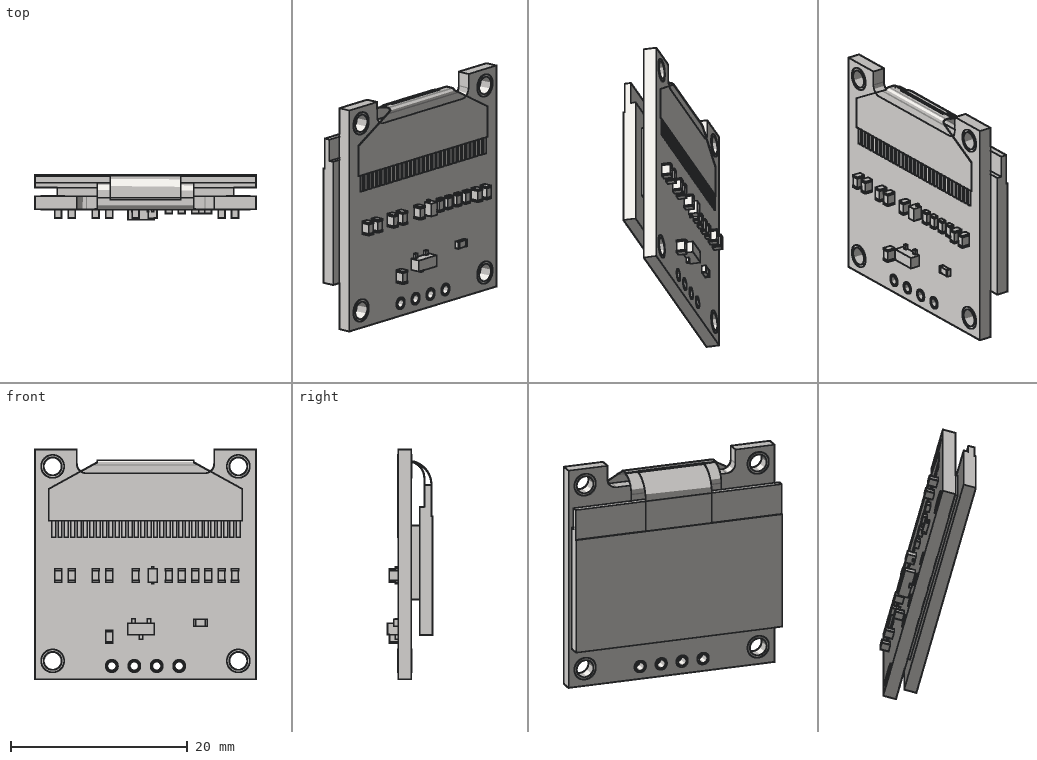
import cadquery as cq
import math


BOARD_WIDTH = 25.0
BOARD_HEIGHT = 26.0
BOARD_THICKNESS = 1.5
BOARD_TOP = BOARD_HEIGHT / 2
NOTCH_HALF_WIDTH = 7.75
NOTCH_FLOOR = 10.3
NOTCH_CORNER_RADIUS = 1.07

PAD_THICKNESS = 0.05
MOUNT_INSET = 2.0
MOUNT_RISE = 0.08
MOUNT_HOLE_DIAMETER = 2.0
MOUNT_PAD_DIAMETER = 2.6
PIN_COUNT = 4
PIN_PITCH = 2.54
PIN_INSET = 1.5
PIN_HOLE_DIAMETER = 1.0
PIN_PAD_DIAMETER = 1.4

ADHESIVE_WIDTH = 20.0
ADHESIVE_THICKNESS = 0.95
ADHESIVE_BOTTOM = -4.0
ADHESIVE_TOP = 4.4
DISPLAY_BOTTOM = -8.0
COVER_THICKNESS = 0.55
COVER_TOP = 6.5
GLASS_THICKNESS = 0.74
GLASS_TOP = 9.0
POLARIZER_THICKNESS = 0.16
POLARIZER_TOP = 5.45
COVER_FRONT = BOARD_THICKNESS + ADHESIVE_THICKNESS
GLASS_FRONT = COVER_FRONT + COVER_THICKNESS
GLASS_BACK = GLASS_FRONT + GLASS_THICKNESS

FLEX_THICKNESS = 0.06
FLEX_CREST = 11.8
FLEX_FOLD_RADIUS = 0.53
FLEX_SPLIT = 1.3
FLEX_HALF_WIDTH = 10.94
FLEX_NECK_HALF_WIDTH = 5.46
FLEX_BOTTOM = 4.95
FLEX_SHOULDER = 8.53
FLEX_NECK_START = 11.55
OUTER_BEND_RADIUS = 2.74
OUTER_STRIP_WIDTH = 8.0
INNER_BEND_RADIUS = 1.9
STRIP_LAP = 0.25

FINGER_COUNT = 30
FINGER_PITCH = 0.72
FINGER_WIDTH = 0.45
FINGER_BOTTOM = 3.05
FINGER_THICKNESS = 0.04
FINGER_ROW_CENTER = 0.05

CHIP_LENGTH = 1.5
CHIP_WIDTH = 0.8
CHIP_TERMINAL = 0.2
CHIP_STEP = 0.02
TALL_CHIP = 1.0
LOW_CHIP = 0.5
CHIP_ROW_Z = -1.25
TALL_CHIP_ROW_X = [-9.88, -8.34, -5.65, -4.1, -1.12, 8.61, 10.12]
LOW_CHIP_ROW_X = [2.65, 4.09, 5.63, 7.09]
SINGLE_CHIP = (-4.1, -8.2)
FLAT_CHIP = (6.22, -6.6)

DIODE_X = 0.82
DIODE_WIDTH = 1.0
DIODE_LENGTH = 1.5
DIODE_HEIGHT = 1.0
DIODE_LEAD_WIDTH = 0.25
DIODE_LEAD_REACH = 0.2

REGULATOR_X = -0.5
REGULATOR_Z = -7.3
REGULATOR_WIDTH = 3.0
REGULATOR_LENGTH = 1.3
REGULATOR_HEIGHT = 1.2
REGULATOR_LEAD_WIDTH = 0.4
REGULATOR_LEAD_REACH = 0.5
REGULATOR_LEAD_OFFSET = 0.87

LEAD_THICKNESS = 0.3


def block(x_range, y_range, z_range):
    """Box between the given limits on each axis."""
    size = [high - low for low, high in (x_range, y_range, z_range)]
    return cq.Workplane("XY").box(*size, centered=False).translate((x_range[0], y_range[0], z_range[0]))


def centered_block(width, y_range, z_range):
    """Box centred on the YZ plane."""
    return block((-width / 2, width / 2), y_range, z_range)


def surface_block(x, z, width, length, height):
    """Box standing on the board's -Y face, centred at (x, z)."""
    return block((x - width / 2, x + width / 2), (-height, 0), (z - length / 2, z + length / 2))


def cylinders_along_y(points, diameter, y_range):
    """Cylinders along Y at the given (x, z) points."""
    low, high = y_range
    return (
        cq.Workplane("XZ", origin=(0, low, 0))
        .pushPoints(points)
        .circle(diameter / 2)
        .extrude(low - high)
    )


def make_board():
    board = centered_block(BOARD_WIDTH, (0, BOARD_THICKNESS), (-BOARD_TOP, BOARD_TOP))
    notch = centered_block(
        2 * NOTCH_HALF_WIDTH, (0, BOARD_THICKNESS), (NOTCH_FLOOR, BOARD_TOP + NOTCH_CORNER_RADIUS)
    )
    notch = notch.faces("<Z").edges("|Y").fillet(NOTCH_CORNER_RADIUS)
    return board.cut(notch)


def plate_holes(board):
    """Add a pad on both board faces at each hole, then drill through."""
    mount_x = BOARD_WIDTH / 2 - MOUNT_INSET
    mount_z = BOARD_TOP - MOUNT_INSET
    mounts = [(x, z) for x in (-mount_x, mount_x) for z in (MOUNT_RISE - mount_z, MOUNT_RISE + mount_z)]
    pins = [((i - (PIN_COUNT - 1) / 2) * PIN_PITCH, PIN_INSET - BOARD_TOP) for i in range(PIN_COUNT)]
    plated_range = (-PAD_THICKNESS, BOARD_THICKNESS + PAD_THICKNESS)
    board = board.union(cylinders_along_y(mounts, MOUNT_PAD_DIAMETER, plated_range))
    board = board.union(cylinders_along_y(pins, PIN_PAD_DIAMETER, plated_range))
    board = board.cut(cylinders_along_y(mounts, MOUNT_HOLE_DIAMETER, plated_range))
    return board.cut(cylinders_along_y(pins, PIN_HOLE_DIAMETER, plated_range))


def make_display():
    adhesive = centered_block(ADHESIVE_WIDTH, (BOARD_THICKNESS, COVER_FRONT), (ADHESIVE_BOTTOM, ADHESIVE_TOP))
    cover = centered_block(BOARD_WIDTH, (COVER_FRONT, GLASS_FRONT), (DISPLAY_BOTTOM, COVER_TOP))
    glass = centered_block(BOARD_WIDTH, (GLASS_FRONT, GLASS_BACK), (DISPLAY_BOTTOM, GLASS_TOP))
    polarizer = centered_block(
        BOARD_WIDTH, (GLASS_BACK, GLASS_BACK + POLARIZER_THICKNESS), (DISPLAY_BOTTOM, POLARIZER_TOP)
    )
    return adhesive.union(cover).union(glass).union(polarizer)


def bent_strip(width, outer_y, radius, crest, flat_start, bottom):
    """Strip running flat at the crest from flat_start, bending down and hanging to the bottom height."""
    center_y = outer_y - radius
    center_z = crest - radius
    inner_radius = radius - FLEX_THICKNESS
    diagonal = math.sqrt(0.5)
    return (
        cq.Workplane("YZ", origin=(-width / 2, 0, 0))
        .moveTo(flat_start, crest)
        .lineTo(center_y, crest)
        .threePointArc((center_y + radius * diagonal, center_z + radius * diagonal), (outer_y, center_z))
        .lineTo(outer_y, bottom)
        .lineTo(outer_y - FLEX_THICKNESS, bottom)
        .lineTo(outer_y - FLEX_THICKNESS, center_z)
        .threePointArc(
            (center_y + inner_radius * diagonal, center_z + inner_radius * diagonal),
            (center_y, crest - FLEX_THICKNESS),
        )
        .lineTo(flat_start, crest - FLEX_THICKNESS)
        .close()
        .extrude(width)
    )


def make_flex():
    strip_start = FLEX_SPLIT - STRIP_LAP

    sheet = bent_strip(
        2 * FLEX_HALF_WIDTH, FLEX_THICKNESS, FLEX_FOLD_RADIUS, FLEX_CREST, -FLEX_SPLIT, FLEX_BOTTOM
    ).mirror("XZ")
    half_outline = [
        (FLEX_HALF_WIDTH, FLEX_BOTTOM),
        (FLEX_HALF_WIDTH, FLEX_SHOULDER),
        (FLEX_NECK_HALF_WIDTH, FLEX_NECK_START),
        (FLEX_NECK_HALF_WIDTH, FLEX_CREST),
    ]
    mirrored_half = [(-x, z) for x, z in reversed(half_outline)]
    outline = (
        cq.Workplane("XZ", origin=(0, -FLEX_THICKNESS, 0))
        .polyline(half_outline + mirrored_half)
        .close()
        .extrude(-(FLEX_SPLIT + FLEX_THICKNESS))
    )
    sheet = sheet.intersect(outline)

    outer_strip = bent_strip(
        OUTER_STRIP_WIDTH,
        GLASS_BACK + FLEX_THICKNESS,
        OUTER_BEND_RADIUS,
        FLEX_CREST - FLEX_THICKNESS,
        strip_start,
        POLARIZER_TOP,
    )
    inner_strip = bent_strip(
        2 * FLEX_NECK_HALF_WIDTH,
        GLASS_FRONT,
        INNER_BEND_RADIUS,
        FLEX_CREST - 2 * FLEX_THICKNESS,
        strip_start,
        COVER_TOP,
    )
    return sheet.union(outer_strip).union(inner_strip)


def make_fingers():
    fingers = cq.Workplane("XY")
    for i in range(FINGER_COUNT):
        x = FINGER_ROW_CENTER + (i - (FINGER_COUNT - 1) / 2) * FINGER_PITCH
        x_range = (x - FINGER_WIDTH / 2, x + FINGER_WIDTH / 2)
        fingers = fingers.add(block(x_range, (-FINGER_THICKNESS, 0), (FINGER_BOTTOM, FLEX_BOTTOM)))
    return fingers.combine()


def make_chip(x, z, height):
    """Upright chip: two end terminals standing slightly proud of the body between them."""
    chip = surface_block(x, z, CHIP_WIDTH - 2 * CHIP_STEP, CHIP_LENGTH, height - CHIP_STEP)
    terminal_offset = (CHIP_LENGTH - CHIP_TERMINAL) / 2
    for side in (-1, 1):
        chip = chip.union(surface_block(x, z + side * terminal_offset, CHIP_WIDTH, CHIP_TERMINAL, height))
    return chip


def make_chips():
    chips = [make_chip(x, CHIP_ROW_Z, TALL_CHIP) for x in TALL_CHIP_ROW_X]
    chips += [make_chip(x, CHIP_ROW_Z, LOW_CHIP) for x in LOW_CHIP_ROW_X]
    chips.append(make_chip(*SINGLE_CHIP, TALL_CHIP))
    flat_x, flat_z = FLAT_CHIP
    chips.append(make_chip(0, 0, LOW_CHIP).rotate((0, 0, 0), (0, 1, 0), 90).translate((flat_x, 0, flat_z)))
    return chips


def make_diode():
    body = surface_block(DIODE_X, CHIP_ROW_Z, DIODE_WIDTH, DIODE_LENGTH, DIODE_HEIGHT)
    lead_span = DIODE_LENGTH + 2 * DIODE_LEAD_REACH
    return body.union(surface_block(DIODE_X, CHIP_ROW_Z, DIODE_LEAD_WIDTH, lead_span, LEAD_THICKNESS))


def make_regulator():
    regulator = surface_block(REGULATOR_X, REGULATOR_Z, REGULATOR_WIDTH, REGULATOR_LENGTH, REGULATOR_HEIGHT)
    lead_shift = (REGULATOR_LENGTH + REGULATOR_LEAD_REACH) / 2
    for offset, side in ((-REGULATOR_LEAD_OFFSET, 1), (REGULATOR_LEAD_OFFSET, 1), (0, -1)):
        lead = surface_block(
            REGULATOR_X + offset,
            REGULATOR_Z + side * lead_shift,
            REGULATOR_LEAD_WIDTH,
            REGULATOR_LEAD_REACH,
            LEAD_THICKNESS,
        )
        regulator = regulator.union(lead)
    return regulator


result = plate_holes(make_board()).union(make_display()).union(make_flex()).union(make_fingers())
for component in make_chips() + [make_diode(), make_regulator()]:
    result = result.union(component)